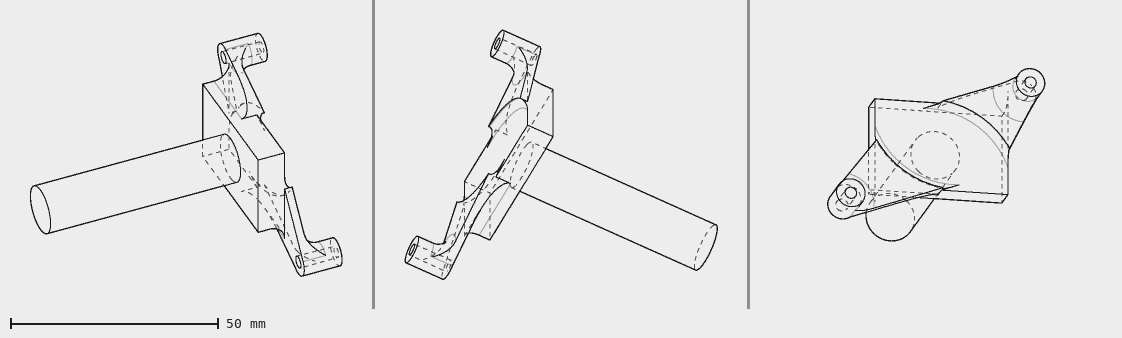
import cadquery as cq
import math

block_width = 32.8
block_height = 22.0
block_depth = 7.0
shaft_diameter = 12.0
shaft_length = 50.05

pad_thickness = 2.0
boss_diameter = 7.05
boss_length = 10.0
left_boss = (-19.75, 14.5)
right_boss = (24.5, -16.5)
lower_edge_inset = 0.1
hole_front_diameter = 3.0
hole_back_diameter = 2.8

recess_radius = 22.1
recess_floor_fillet = 1.75

boss_fillet = 3.95
web_fillet = 4.0

half_width = block_width / 2
half_height = block_height / 2
boss_radius = boss_diameter / 2

pads = ((left_boss, 1), (right_boss, -1))


def xz_plane(y):
    """Work plane at a given Y; a negative extrusion from it runs towards +Y."""
    return cq.Workplane("XZ", origin=(0, y, 0))


def cylinder(center, radius, start_y, length):
    return xz_plane(start_y).center(*center).circle(radius).extrude(-length)


def turned(outline, center):
    """Revolve an outline about its Y axis and move it to a point given by X and Z."""
    return outline.close().revolve(360, (0, 0), (0, 1)).translate((center[0], 0, center[1]))


def point_on_circle(center, radius, angle):
    """Point on a circle at an angle in degrees from the first axis."""
    turn = math.radians(angle)
    return (center[0] + radius * math.cos(turn), center[1] + radius * math.sin(turn))


def touch_point(start, center, radius, turn):
    """Where a line from start touches a circle; turn +1 or -1 picks one of the two tangents."""
    dx = start[0] - center[0]
    dz = start[1] - center[1]
    angle = math.atan2(dz, dx) + turn * math.acos(radius / math.hypot(dx, dz))
    return (center[0] + radius * math.cos(angle), center[1] + radius * math.sin(angle))


def pad_outline(boss, side):
    """Outline from the boss axis to the middle of the block, before the recess is cut.

    The straight edges run from the boss through the middles of a long and a short block side.
    The lower edge of each pad meets its boss slightly inside the tangent.
    """
    long_middle = (0, side * half_height)
    short_middle = (-side * half_width, 0)
    block_corner = (-side * half_width, -side * half_height)
    inset_radius = boss_radius - lower_edge_inset
    long_radius = boss_radius if side > 0 else inset_radius
    short_radius = inset_radius if side > 0 else boss_radius
    long_touch = touch_point(long_middle, boss, long_radius, 1)
    short_touch = touch_point(short_middle, boss, short_radius, -1)
    run_on = [middle + (middle - touch) / 2 for middle, touch in zip(long_middle, long_touch)]
    return [boss, long_touch, run_on, (0, 0), block_corner, short_middle, short_touch]


def pad_prism(boss, side, start_y, length):
    return xz_plane(start_y).polyline(pad_outline(boss, side)).close().extrude(-length)


def recess(side):
    """Disc with a filleted floor edge; its rim passes the middles of the two block sides."""
    half_chord = math.hypot(half_width, half_height) / 2
    rise = math.sqrt(recess_radius**2 - half_chord**2)
    center_x = side * (rise * half_height / 2 / half_chord - half_width / 2)
    center_z = side * (half_height / 2 - rise * half_width / 2 / half_chord)
    fillet_center = (recess_radius - recess_floor_fillet, recess_floor_fillet)
    fillet_middle = point_on_circle(fillet_center, recess_floor_fillet, -45)
    outline = (
        cq.Workplane("XY")
        .lineTo(fillet_center[0], 0)
        .threePointArc(fillet_middle, (recess_radius, fillet_center[1]))
        .lineTo(recess_radius, pad_thickness)
        .lineTo(0, pad_thickness)
    )
    return turned(outline, (center_x, center_z))


def boss_foot(boss, side):
    """Fillet from the boss onto the back of the pad, kept inside the pad outline."""
    foot_radius = boss_radius + boss_fillet
    foot_end = pad_thickness + boss_fillet
    outline = (
        cq.Workplane("XY")
        .lineTo(foot_radius, 0)
        .lineTo(foot_radius, pad_thickness)
        .threePointArc(point_on_circle((foot_radius, foot_end), boss_fillet, 225), (boss_radius, foot_end))
        .lineTo(0, foot_end)
    )
    return turned(outline, boss).intersect(pad_prism(boss, side, 0, foot_end))


def boss_hole(boss):
    """Hole along the whole boss, narrowing slightly towards the back."""
    outline = (
        cq.Workplane("XY")
        .lineTo(hole_front_diameter / 2, 0)
        .lineTo(hole_back_diameter / 2, boss_length)
        .lineTo(0, boss_length)
    )
    return turned(outline, boss)


def web(boss, side):
    """Concave fillet from the long block side up the front of the pad, over half the block width."""
    web_top = half_height + web_fillet
    body = (
        cq.Workplane("YZ")
        .moveTo(0, half_height)
        .lineTo(-web_fillet, half_height)
        .threePointArc(point_on_circle((-web_fillet, web_top), web_fillet, -45), (0, web_top))
        .close()
        .extrude(-half_width)
    )
    if side < 0:
        body = body.rotate((0, 0, 0), (0, 1, 0), 180)
    return body.intersect(pad_prism(boss, side, -web_fillet, web_fillet))


block = xz_plane(-block_depth).rect(block_width, block_height).extrude(-block_depth)
shaft = cylinder((0, 0), shaft_diameter / 2, -block_depth - shaft_length, shaft_length)
result = block.union(shaft)

for boss, side in pads:
    pad = pad_prism(boss, side, 0, pad_thickness).cut(recess(side))
    result = result.union(pad).union(web(boss, side)).union(boss_foot(boss, side))
    result = result.union(cylinder(boss, boss_radius, 0, boss_length)).cut(boss_hole(boss))